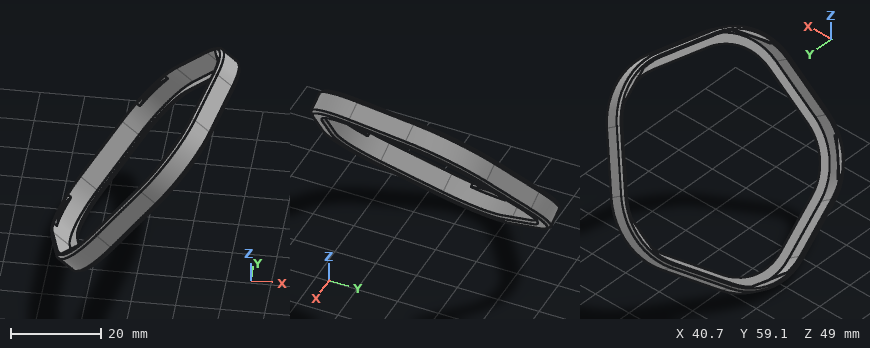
import cadquery as cq
import math

SIDES = 5
APOTHEM = 27.8
CORNER_RADIUS = 17.1
HEIGHT = 5.65
EDGE_CHAMFER = 0.65
WALL = 1.05
FLANGE_WIDTH = 3.6
FLANGE_THICKNESS = 0.65
TAB_THICKNESS = 1.0
TAB_DISTANCE = 28.5

AXIS_ELEVATION = math.radians(38.7)
TURN_ABOUT_X = math.radians(10)

first_corner = cq.Vector(0, math.cos(TURN_ABOUT_X), -math.sin(TURN_ABOUT_X))
ring_axis = cq.Vector(
    -math.cos(AXIS_ELEVATION),
    math.sin(AXIS_ELEVATION) * math.sin(TURN_ABOUT_X),
    math.sin(AXIS_ELEVATION) * math.cos(TURN_ABOUT_X),
)


def rounded_prism(inset, bottom, height):
    """Five-sided prism, offset inward from the outer outline by inset."""
    circumscribed_diameter = 2 * (APOTHEM - inset) / math.cos(math.pi / SIDES)
    return (
        cq.Workplane("XY", origin=(0, 0, bottom))
        .polygon(SIDES, circumscribed_diameter)
        .extrude(height)
        .edges("|Z")
        .fillet(CORNER_RADIUS - inset)
    )


def corner_tabs():
    """Webs that close off each inner corner at the upper rim, sloped at 45 degrees underneath."""
    bottom = HEIGHT - TAB_THICKNESS
    straight_edges = (
        cq.Workplane("XY", origin=(0, 0, bottom))
        .polygon(SIDES, 2 * TAB_DISTANCE / math.cos(math.pi / SIDES))
        .extrude(TAB_THICKNESS)
        .rotate((0, 0, 0), (0, 0, 1), 180 / SIDES)
    )
    space_below = (
        rounded_prism(WALL, bottom - TAB_THICKNESS, 2 * TAB_THICKNESS)
        .faces(">Z")
        .chamfer(TAB_THICKNESS)
    )
    return rounded_prism(WALL / 2, bottom, TAB_THICKNESS).cut(straight_edges).cut(space_below)


body = rounded_prism(0, 0, HEIGHT).faces("<Z or >Z").chamfer(EDGE_CHAMFER)
cavity = rounded_prism(WALL, FLANGE_THICKNESS, HEIGHT)
tapered_opening = (
    rounded_prism(FLANGE_WIDTH - FLANGE_THICKNESS, -FLANGE_THICKNESS, 2 * FLANGE_THICKNESS)
    .faces(">Z")
    .chamfer(FLANGE_THICKNESS)
)
tabs = corner_tabs().intersect(body)
ring = body.cut(cavity).cut(tapered_opening).union(tabs)

tilted = cq.Plane(origin=(0, 0, 0), xDir=first_corner, normal=ring_axis)
result = cq.Workplane("XY").newObject([ring.val().moved(cq.Location(tilted))])